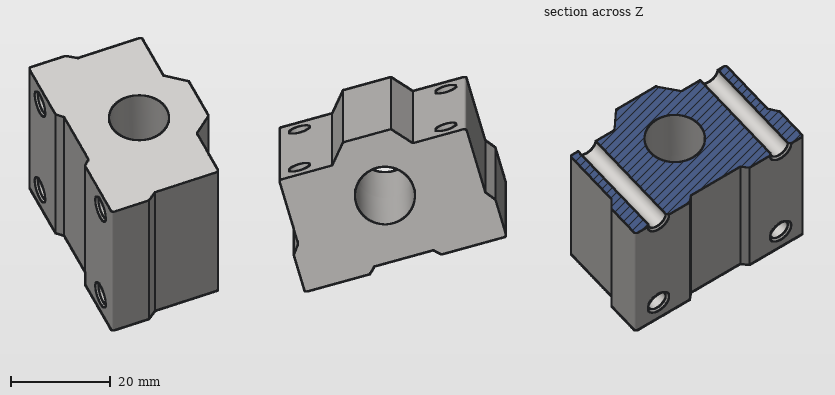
import cadquery as cq

width = 42.0
depth = 28.0
height = 36.0

body_width = 38.98
body_depth = 24.0
foot_depth = 8.05
foot_slope_end = 10.1
ridge_top_width = 10.0
ridge_base_width = 16.8
groove_floor_width = 12.25
groove_mouth_width = 14.85
groove_depth = 1.3
corner_radius = 0.5

bore_diameter = 12.0
bore_distance = 15.0

hole_diameter = 4.33
hole_mouth_diameter = 5.35
hole_spacing_x = 30.5
hole_spacing_z = 26.0
countersink_depth = (hole_mouth_diameter - hole_diameter) / 2

mounting_face_y = -depth / 2


def make_block():
    """Extrude the symmetric cross-section and round its outer corners."""
    right_half = [
        (groove_floor_width / 2, groove_depth),
        (groove_mouth_width / 2, 0),
        (width / 2, 0),
        (width / 2, foot_depth),
        (body_width / 2, foot_slope_end),
        (body_width / 2, body_depth),
        (ridge_base_width / 2, body_depth),
        (ridge_top_width / 2, depth),
    ]
    left_half = [(-x, y) for x, y in reversed(right_half)]
    block = (
        cq.Workplane("XY")
        .polyline(right_half + left_half)
        .close()
        .extrude(height)
        .translate((0, mounting_face_y, -height / 2))
    )
    rounded_corners = [
        (width / 2, mounting_face_y),
        (body_width / 2, mounting_face_y + body_depth),
    ]
    for x, y in rounded_corners:
        for side in (-1, 1):
            nearest_edge = cq.selectors.NearestToPointSelector((side * x, y, 0))
            block = block.edges("|Z").edges(nearest_edge).fillet(corner_radius)
    return block


def make_bore():
    """Cylinder that clears the shaft bore from end to end."""
    return (
        cq.Workplane("XY")
        .center(0, mounting_face_y + bore_distance)
        .circle(bore_diameter / 2)
        .extrude(height / 2, both=True)
    )


def make_mounting_hole(x, z):
    """Through hole with a 45 degree countersink at the mounting face."""
    mouth = cq.Vector(x, mounting_face_y, z)
    inward = cq.Vector(0, 1, 0)
    drill = cq.Solid.makeCylinder(hole_diameter / 2, depth, mouth, inward)
    countersink = cq.Solid.makeCone(
        hole_mouth_diameter / 2, hole_diameter / 2, countersink_depth, mouth, inward
    )
    return drill.fuse(countersink)


result = make_block().cut(make_bore())
for side_x in (-1, 1):
    for side_z in (-1, 1):
        hole = make_mounting_hole(side_x * hole_spacing_x / 2, side_z * hole_spacing_z / 2)
        result = result.cut(hole)